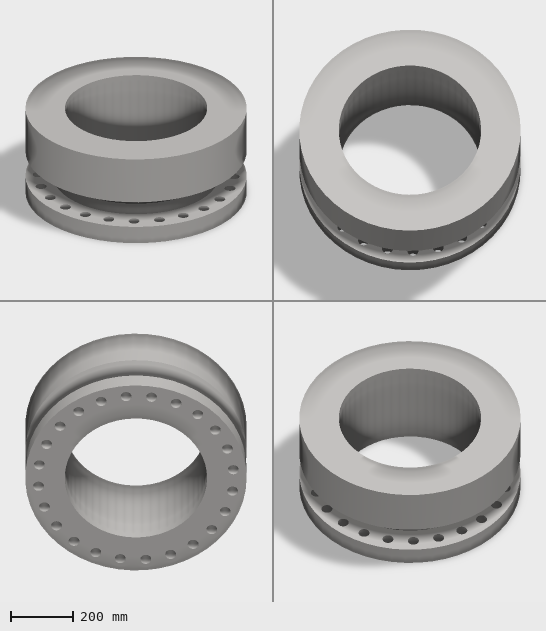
import cadquery as cq
import math

outer_diameter = 711.0
overall_height = 303.21
bore_diameter = 457.2
neck_diameter = 533.4

flange_thickness = 58.75
neck_height = 38.1
cone_angle = 30.0

bolt_count = 24
bolt_circle_diameter = 628.65
bolt_hole_diameter = 35.0

outer_radius = outer_diameter / 2
bore_radius = bore_diameter / 2
neck_radius = neck_diameter / 2
neck_top = flange_thickness + neck_height
cone_height = (outer_radius - neck_radius) * math.tan(math.radians(cone_angle))
cone_top = neck_top + cone_height


def make_body():
    """Flange, neck, cone and upper ring, turned about Z around a plain bore."""
    profile = [
        (bore_radius, 0),
        (outer_radius, 0),
        (outer_radius, flange_thickness),
        (neck_radius, flange_thickness),
        (neck_radius, neck_top),
        (outer_radius, cone_top),
        (outer_radius, overall_height),
        (bore_radius, overall_height),
    ]
    return cq.Workplane("XZ").polyline(profile).close().revolve(360, (0, 0), (0, 1))


def make_bolt_holes():
    """Ring of cylinders that cut the bolt holes through the flange."""
    return (
        cq.Workplane("XY")
        .polarArray(bolt_circle_diameter / 2, 0, 360, bolt_count)
        .circle(bolt_hole_diameter / 2)
        .extrude(flange_thickness)
    )


result = make_body().cut(make_bolt_holes())